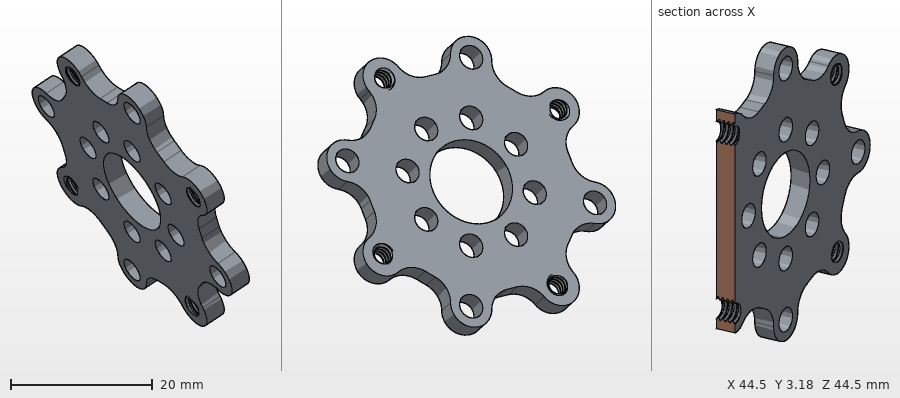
import cadquery as cq
import math

INCH = 25.4
THICKNESS = 0.125 * INCH
LOBE_COUNT = 8
LOBE_CIRCLE_RADIUS = 0.75 * INCH
LOBE_RADIUS = 0.125 * INCH
VALLEY_FILLET_RADIUS = 0.15 * INCH

CENTRE_BORE_DIAMETER = 0.5 * INCH
HUB_HOLE_CIRCLE_RADIUS = 0.385 * INCH
CLEARANCE_HOLE_DIAMETER = 0.14 * INCH

THREAD_MAJOR_RADIUS = 0.138 * INCH / 2
THREAD_MINOR_RADIUS = 0.1065 * INCH / 2
THREAD_PITCH = INCH / 32
THREAD_FLANK_ANGLE = 30
THREAD_ROOT_WIDTH = THREAD_PITCH / 8
THREAD_OVERLAP = 0.3
THREAD_START_OFFSET = -90

LOBE_STEP = 360 / LOBE_COUNT


def polar(radius, angle):
    """Point at a radius and an angle in degrees."""
    return (
        radius * math.cos(math.radians(angle)),
        radius * math.sin(math.radians(angle)),
    )


def lobe_frame_point(angle, outward, sideways):
    """Point given by its distances along and across (counterclockwise) a lobe's axis."""
    out_x, out_y = polar(outward, angle)
    side_x, side_y = polar(sideways, angle + 90)
    return (out_x + side_x, out_y + side_y)


def fillet_point(lobe_angle, side, turn):
    """Point on a valley fillet, a given turn (degrees) on from where it leaves the lobe."""
    centre_sideways = LOBE_RADIUS + VALLEY_FILLET_RADIUS
    outward = LOBE_CIRCLE_RADIUS - VALLEY_FILLET_RADIUS * math.sin(math.radians(turn))
    sideways = centre_sideways - VALLEY_FILLET_RADIUS * math.cos(math.radians(turn))
    return lobe_frame_point(lobe_angle, outward, side * sideways)


def make_plate():
    """Plate with round lobes joined by filleted valleys with a short flat floor."""
    full_turn = 90 - LOBE_STEP / 2
    half_turn = full_turn / 2
    outline = cq.Workplane("XY").moveTo(*fillet_point(0, -1, 0))
    for index in range(LOBE_COUNT):
        angle = index * LOBE_STEP
        next_angle = angle + LOBE_STEP
        lobe_tip = polar(LOBE_CIRCLE_RADIUS + LOBE_RADIUS, angle)
        outline = outline.threePointArc(lobe_tip, fillet_point(angle, 1, 0))
        outline = outline.threePointArc(fillet_point(angle, 1, half_turn), fillet_point(angle, 1, full_turn))
        outline = outline.lineTo(*fillet_point(next_angle, -1, full_turn))
        outline = outline.threePointArc(
            fillet_point(next_angle, -1, half_turn), fillet_point(next_angle, -1, 0)
        )
    return outline.close().extrude(THICKNESS / 2, both=True)


def cut_plain_holes(plate):
    """Centre bore, ring of hub holes, and clearance holes in every other lobe."""
    hub_points = [polar(HUB_HOLE_CIRCLE_RADIUS, index * LOBE_STEP) for index in range(LOBE_COUNT)]
    lobe_points = [polar(LOBE_CIRCLE_RADIUS, index * LOBE_STEP) for index in range(0, LOBE_COUNT, 2)]
    top = plate.faces(">Z").workplane(origin=(0, 0, 0))
    plate = top.circle(CENTRE_BORE_DIAMETER / 2).cutThruAll()
    top = plate.faces(">Z").workplane(origin=(0, 0, 0))
    return top.pushPoints(hub_points + lobe_points).hole(CLEARANCE_HOLE_DIAMETER)


def make_groove_turn():
    """One turn of the right-hand thread groove about Z, starting at angle zero and height zero."""
    inner_radius = THREAD_MINOR_RADIUS - THREAD_OVERLAP
    root_half = THREAD_ROOT_WIDTH / 2
    depth = THREAD_MAJOR_RADIUS - inner_radius
    mouth_half = root_half + depth * math.tan(math.radians(THREAD_FLANK_ANGLE))
    helix = cq.Wire.makeHelix(THREAD_PITCH, THREAD_PITCH, inner_radius)
    profile = cq.Workplane("XZ").polyline(
        [
            (inner_radius, -mouth_half),
            (THREAD_MAJOR_RADIUS, -root_half),
            (THREAD_MAJOR_RADIUS, root_half),
            (inner_radius, mouth_half),
        ]
    ).close()
    return profile.sweep(cq.Workplane(helix), isFrenet=True)


def make_tap():
    """Threaded hole as a solid about Z: its core plus the groove, one turn at a time."""
    groove_turn = make_groove_turn()
    turns_inside = math.ceil(THICKNESS / THREAD_PITCH)
    tap = cq.Workplane("XY").circle(THREAD_MINOR_RADIUS).extrude(THICKNESS, both=True)
    for turn in range(-1, turns_inside + 1):
        turn_start = THICKNESS / 2 - (turn + 1) * THREAD_PITCH
        tap = tap.union(groove_turn.translate((0, 0, turn_start)), clean=False)
    return tap


def cut_tapped_holes(plate):
    """Threaded holes in the lobes between the clearance holes."""
    tap = make_tap()
    for index in range(1, LOBE_COUNT, 2):
        angle = index * LOBE_STEP
        turned_tap = tap.rotate((0, 0, 0), (0, 0, 1), angle + THREAD_START_OFFSET)
        plate = plate.cut(turned_tap.translate(polar(LOBE_CIRCLE_RADIUS, angle)))
    return plate


flat_part = cut_tapped_holes(cut_plain_holes(make_plate()))
result = flat_part.rotate((0, 0, 0), (1, 0, 0), 90).solids()